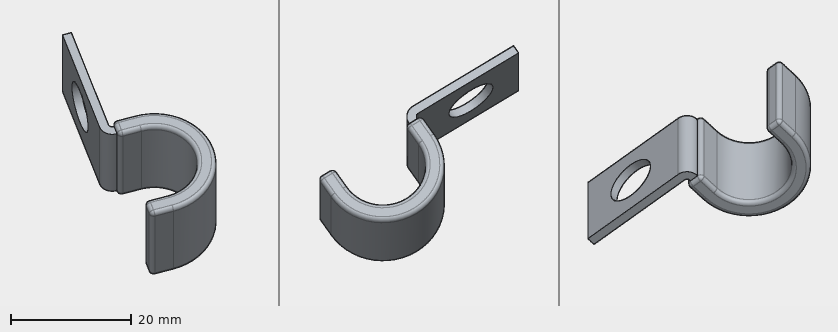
import cadquery as cq

total_length = 40.4
total_height = 17.45

outer_radius = 10.25
cushion_wall = 3.15
leg_length = 4.0
edge_radius = 0.75

strap_thickness = 1.58
strap_width = 15.95
strap_drop = 6.35
bend_inner_radius = 0.65

hole_diameter = 8.73
hole_from_end = 9.5

inner_radius = outer_radius - cushion_wall
plate_end_x = outer_radius - total_length
strap_center_radius = outer_radius - cushion_wall / 2
strap_right_x = -strap_center_radius + strap_thickness / 2
bend_outer_radius = bend_inner_radius + strap_thickness


def make_cushion():
    """U-shaped sleeve with straight legs and all edges rounded."""
    return (
        cq.Workplane("XY")
        .workplane(offset=-total_height / 2)
        .moveTo(-outer_radius, -leg_length)
        .lineTo(-outer_radius, 0)
        .threePointArc((0, outer_radius), (outer_radius, 0))
        .lineTo(outer_radius, -leg_length)
        .lineTo(inner_radius, -leg_length)
        .lineTo(inner_radius, 0)
        .threePointArc((0, inner_radius), (-inner_radius, 0))
        .lineTo(-inner_radius, -leg_length)
        .close()
        .extrude(total_height)
        .faces("|Z or <Y")
        .edges()
        .fillet(edge_radius)
    )


def make_strap():
    """Flat mounting plate that bends up into the middle of the left leg."""
    riser_left_x = strap_right_x - strap_thickness
    plate_top_y = -strap_drop + strap_thickness
    strap = (
        cq.Workplane("XY")
        .workplane(offset=-strap_width / 2)
        .moveTo(plate_end_x, -strap_drop)
        .lineTo(strap_right_x - bend_outer_radius, -strap_drop)
        .radiusArc((strap_right_x, -strap_drop + bend_outer_radius), -bend_outer_radius)
        .lineTo(strap_right_x, 0)
        .lineTo(riser_left_x, 0)
        .lineTo(riser_left_x, plate_top_y + bend_inner_radius)
        .radiusArc((riser_left_x - bend_inner_radius, plate_top_y), bend_inner_radius)
        .lineTo(plate_end_x, plate_top_y)
        .close()
        .extrude(strap_width)
    )
    hole = (
        cq.Workplane("XZ", origin=(plate_end_x + hole_from_end, plate_top_y, 0))
        .circle(hole_diameter / 2)
        .extrude(strap_thickness)
    )
    return strap.cut(hole)


result = make_cushion().union(make_strap())